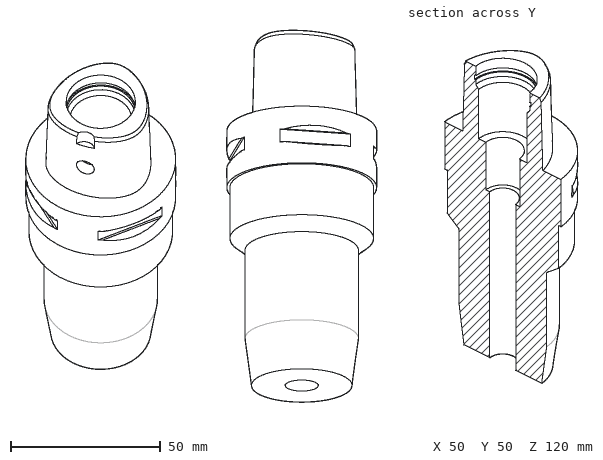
import cadquery as cq
import math

LENGTH = 120.0
SHANK_LENGTH = 30.0
FLANGE_BOTTOM = 70.0
BODY_BOTTOM = 52.0
SLEEVE_TOP = 47.8
NOSE_CONE_TOP = 16.5
FLANGE_TOP = LENGTH - SHANK_LENGTH

FLANGE_RADIUS = 25.02
BODY_RADIUS = 24.0
SLEEVE_RADIUS = 19.0
NOSE_RADIUS = 16.8

SHANK_BASE_RADIUS = 17.5
SHANK_TAPER = 1 / 20
LOBE_HEIGHT = 1.0
RIM_CHAMFER_HEIGHT = 1.5
RIM_CHAMFER_WIDTH = 0.6
OUTLINE_POINTS = 36

MOUTH_RADIUS = 11.5
MOUTH_DEPTH = 4.1
GROOVE_RADIUS = 12.0
GROOVE_BOTTOM_DEPTH = 5.8
LEAD_IN_TOP_DEPTH = 7.7
BORE_RADIUS = 10.3
LEAD_IN_BOTTOM_DEPTH = 9.2
BORE_DEPTH = SHANK_LENGTH
STEP_RADIUS = 7.2
STEP_DEPTH = LENGTH - FLANGE_BOTTOM
THROUGH_RADIUS = 5.5

NOTCH_COUNT = 4
NOTCH_FLOOR_DISTANCE = 22.0
NOTCH_FLARE_DISTANCE = 22.7
NOTCH_FLOOR_HEIGHT = 4.5
NOTCH_MOUTH_HEIGHT = 6.7
NOTCH_LEVEL = (FLANGE_TOP + FLANGE_BOTTOM) / 2

SLOT_RADIUS = 3.7
SLOT_CENTER_Y = -17.6
SLOT_DEPTH = 5.2
SIDE_HOLE_RADIUS = 3.1
SIDE_HOLE_LEVEL = 104.2
SIDE_HOLE_FLOOR_Y = -12.0


def lobed_wire(mean_radius, level):
    """Closed constant-width curve with one of its three lobes toward +Y."""
    points = []
    for i in range(OUTLINE_POINTS):
        angle = 2 * math.pi * i / OUTLINE_POINTS
        support = mean_radius + LOBE_HEIGHT * math.cos(3 * angle)
        slope = -3 * LOBE_HEIGHT * math.sin(3 * angle)
        along_lobe = support * math.cos(angle) - slope * math.sin(angle)
        across_lobe = support * math.sin(angle) + slope * math.cos(angle)
        points.append(cq.Vector(-across_lobe, along_lobe, level))
    return cq.Wire.assembleEdges([cq.Edge.makeSpline(points, periodic=True)])


def shank_radius(level):
    return SHANK_BASE_RADIUS - (level - FLANGE_TOP) * SHANK_TAPER / 2


def make_shank():
    chamfer_level = LENGTH - RIM_CHAMFER_HEIGHT
    base = lobed_wire(SHANK_BASE_RADIUS, FLANGE_TOP)
    shoulder = lobed_wire(shank_radius(chamfer_level), chamfer_level)
    rim = lobed_wire(shank_radius(chamfer_level) - RIM_CHAMFER_WIDTH, LENGTH)
    taper = cq.Solid.makeLoft([base, shoulder], True)
    chamfer = cq.Solid.makeLoft([shoulder, rim], True)
    return cq.Workplane(taper).union(cq.Workplane(chamfer))


def revolve_profile(points):
    """Turn (radius, level) points around the Z axis."""
    return cq.Workplane("XZ").polyline(points).close().revolve(360, (0, 0), (0, 1))


def make_body():
    return revolve_profile([
        (0, 0),
        (NOSE_RADIUS, 0),
        (SLEEVE_RADIUS, NOSE_CONE_TOP),
        (SLEEVE_RADIUS, SLEEVE_TOP),
        (BODY_RADIUS, BODY_BOTTOM),
        (BODY_RADIUS, FLANGE_BOTTOM),
        (FLANGE_RADIUS, FLANGE_BOTTOM),
        (FLANGE_RADIUS, FLANGE_TOP),
        (0, FLANGE_TOP),
    ])


def make_bore():
    return revolve_profile([
        (0, LENGTH),
        (MOUTH_RADIUS, LENGTH),
        (MOUTH_RADIUS, LENGTH - MOUTH_DEPTH),
        (GROOVE_RADIUS, LENGTH - MOUTH_DEPTH),
        (GROOVE_RADIUS, LENGTH - GROOVE_BOTTOM_DEPTH),
        (MOUTH_RADIUS, LENGTH - GROOVE_BOTTOM_DEPTH),
        (MOUTH_RADIUS, LENGTH - LEAD_IN_TOP_DEPTH),
        (BORE_RADIUS, LENGTH - LEAD_IN_BOTTOM_DEPTH),
        (BORE_RADIUS, LENGTH - BORE_DEPTH),
        (STEP_RADIUS, LENGTH - BORE_DEPTH),
        (STEP_RADIUS, LENGTH - STEP_DEPTH),
        (THROUGH_RADIUS, LENGTH - STEP_DEPTH),
        (THROUGH_RADIUS, 0),
        (0, 0),
    ])


def make_notch(angle):
    """Flat-floored notch whose walls run square and then flare, running straight across the flange."""
    half_floor = NOTCH_FLOOR_HEIGHT / 2
    half_mouth = NOTCH_MOUTH_HEIGHT / 2
    return (
        cq.Workplane("XZ")
        .moveTo(NOTCH_FLOOR_DISTANCE, NOTCH_LEVEL - half_floor)
        .lineTo(NOTCH_FLARE_DISTANCE, NOTCH_LEVEL - half_floor)
        .lineTo(FLANGE_RADIUS, NOTCH_LEVEL - half_mouth)
        .lineTo(FLANGE_RADIUS, NOTCH_LEVEL + half_mouth)
        .lineTo(NOTCH_FLARE_DISTANCE, NOTCH_LEVEL + half_floor)
        .lineTo(NOTCH_FLOOR_DISTANCE, NOTCH_LEVEL + half_floor)
        .close()
        .extrude(FLANGE_RADIUS, both=True)
        .rotate((0, 0, 0), (0, 0, 1), angle)
    )


def make_slot():
    return (
        cq.Workplane("XY", origin=(0, SLOT_CENTER_Y, LENGTH))
        .circle(SLOT_RADIUS)
        .extrude(-SLOT_DEPTH)
    )


def make_side_hole():
    return (
        cq.Workplane("XZ", origin=(0, SIDE_HOLE_FLOOR_Y, SIDE_HOLE_LEVEL))
        .circle(SIDE_HOLE_RADIUS)
        .extrude(FLANGE_RADIUS + SIDE_HOLE_FLOOR_Y)
    )


result = make_body().union(make_shank()).cut(make_bore())
for index in range(NOTCH_COUNT):
    result = result.cut(make_notch(360 / NOTCH_COUNT * (index + 0.5)))
result = result.cut(make_slot()).cut(make_side_hole())